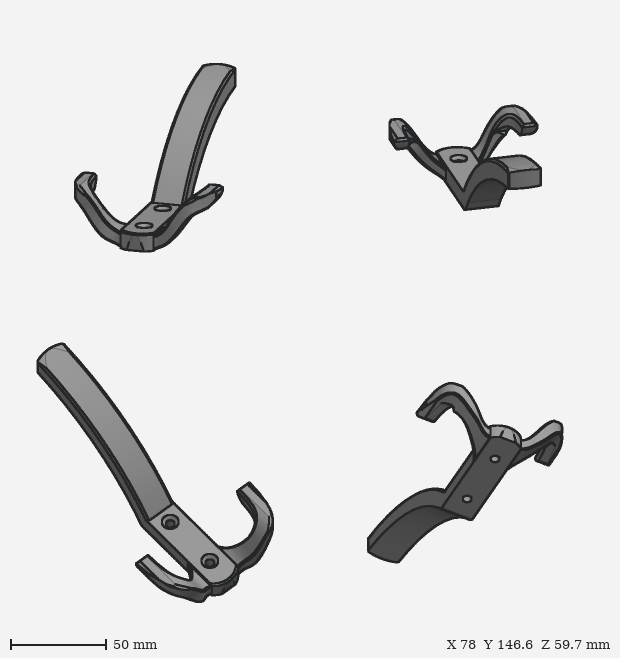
import cadquery as cq

length = 146.6
height = 59.7
span = 78.0

bar_width = 18.0
plate_thickness = 9.5
bend_y = 55.7
heel_y = 59.4
arm_tip_thickness = 10.3
arm_edge_chamfer = 1.2
arm_crown_radius = 35.2
arm_end_radius = 26.4
arm_corner_chamfer = 0.7
nose_radius = 13.0
nose_chamfer_setback = 0.6
nose_chamfer_drop = 1.3
nose_facet_height = 8.8
nose_facet_setback = 0.9

hole_diameter = 4.7
countersink_diameter = 8.8
first_hole_y = 16.0
hole_pitch = 32.0

hook_tip_y = 29.9
hook_root_y = 23.3
hook_height = 31.2
hook_root_front_y = 3.8
hook_root_bottom = 0.5
hook_root_top = 8.0
hook_tip_inner_x = 30.6
hook_flat_start_x = 32.2
hook_flat_end_x = 37.0
prong_underside = 23.5
prong_tip_edge_z = 29.6
prong_tip_bevel = 0.7
hook_bend_x = 26.4
hook_inner_chamfer = 1.2
hook_front_chamfer = 0.66

half_width = bar_width / 2
half_span = span / 2


def make_bar():
    """Bent bar: side profile trimmed by the bowed plan and by the crown."""
    profile = (
        cq.Workplane("YZ")
        .moveTo(0, 0)
        .lineTo(heel_y, 0)
        .threePointArc((60.5, 0.5), (62.0, 1.8))
        .lineTo(66.0, 6.9)
        .threePointArc((97.9, 33.5), (length, height - arm_tip_thickness))
        .lineTo(length, height)
        .threePointArc((95.0, 44.1), (bend_y, plate_thickness))
        .lineTo(0, plate_thickness)
        .close()
        .extrude(half_width, both=True)
    )
    arm_top_edges = profile.faces(">X or <X").edges("%CIRCLE").edges(">Z")
    bar = arm_top_edges.chamfer(arm_edge_chamfer)

    nose_sag = nose_radius - (nose_radius**2 - half_width**2) ** 0.5
    end_sag = arm_end_radius - (arm_end_radius**2 - half_width**2) ** 0.5
    plan = (
        cq.Workplane("XY")
        .moveTo(-half_width, nose_sag)
        .threePointArc((0, 0), (half_width, nose_sag))
        .lineTo(half_width, length - end_sag)
        .threePointArc((0, length), (-half_width, length - end_sag))
        .close()
        .extrude(height)
        .edges("|Z")
        .edges(">Y")
        .chamfer(arm_corner_chamfer)
    )
    crown = (
        cq.Workplane("XZ", origin=(0, 0, height - arm_crown_radius))
        .circle(arm_crown_radius)
        .extrude(-length)
    )
    bar = bar.intersect(plan).intersect(crown)
    nose_top_edge = bar.faces("<Y").edges(">Z")
    return nose_top_edge.chamfer(nose_chamfer_drop, nose_chamfer_setback)


def make_nose_cutter():
    """Wedge that leaves a sloping triangular facet on the bowed nose."""
    return (
        cq.Workplane("YZ")
        .polyline([(0, 0), (nose_facet_setback, 0), (0, nose_facet_height)])
        .close()
        .extrude(half_width, both=True)
    )


def make_hook_plan():
    """Hook outline in the XY plane, extruded along Z."""
    outer_side = [
        (13.0, 3.4),
        (17.3, 1.0),
        (22.9, 0.07),
        (29.5, 1.2),
        (35.5, 8.2),
        (38.3, 20.7),
        (half_span, hook_tip_y),
    ]
    inner_side = [
        (29.9, 18.9),
        (27.0, 11.1),
        (22.7, 9.1),
        (15.5, 13.5),
        (half_width, hook_root_y),
    ]
    return (
        cq.Workplane("XY")
        .moveTo(0, hook_root_front_y)
        .lineTo(half_width, hook_root_front_y)
        .spline(outer_side, tangents=[(1, 0.3), (0.07, 1)], includeCurrent=True)
        .lineTo(hook_tip_inner_x, hook_tip_y)
        .spline(inner_side, tangents=[(0, -1), (-1, 2.2)], includeCurrent=True)
        .lineTo(0, hook_root_y)
        .close()
        .extrude(hook_height)
    )


def make_hook_front():
    """Rising S-shaped band in the XZ plane, extruded along Y."""
    underside = [(15.1, 3.5), (23.3, 11.9), (29.9, 20.7), (36.0, prong_underside)]
    top_side = [(26.1, 27.7), (19.6, 19.3), (13.2, 10.5), (half_width, hook_root_top)]
    return (
        cq.Workplane("XZ")
        .moveTo(0, 0)
        .lineTo(half_width, hook_root_bottom)
        .spline(underside, tangents=[(1, 0.4), (1, 0.15)], includeCurrent=True)
        .threePointArc((38.0, 25.8), (half_span, 29.9))
        .lineTo(hook_flat_end_x, hook_height)
        .lineTo(hook_flat_start_x, hook_height)
        .spline(top_side, tangents=[(-1, -0.2), (-1, -0.4)], includeCurrent=True)
        .lineTo(0, hook_root_top)
        .close()
        .extrude(-hook_tip_y)
    )


def make_hook_side():
    """C-shaped outline in the YZ plane that rounds the prong and its tip."""
    return (
        cq.Workplane("YZ")
        .lineTo(0, 26.7)
        .threePointArc((2.5, 29.9), (6.7, hook_height))
        .lineTo(hook_tip_y - prong_tip_bevel, hook_height)
        .lineTo(hook_tip_y, prong_tip_edge_z)
        .threePointArc((28.5, 25.8), (26.0, prong_underside))
        .lineTo(12.3, 22.9)
        .threePointArc((10.0, 21.7), (8.8, 19.0))
        .lineTo(16.9, plate_thickness)
        .lineTo(hook_root_y, plate_thickness)
        .lineTo(hook_root_y, 0)
        .close()
        .extrude(half_span)
    )


def make_hook():
    """Hook on the +X side: the common volume of its three outlines."""
    hook = make_hook_plan().intersect(make_hook_front())

    wall_split_y = hook_root_y / 4
    inner_box = cq.selectors.BoxSelector(
        (half_width, wall_split_y, 0), (hook_bend_x, hook_root_y, hook_height)
    )
    front_box = cq.selectors.BoxSelector((half_width, 0, 0), (hook_bend_x, wall_split_y, hook_height))
    hook = hook.edges("%BSPLINE").edges(inner_box).chamfer(hook_inner_chamfer)
    hook = hook.edges("%BSPLINE").edges(front_box).chamfer(hook_front_chamfer)
    return hook.intersect(make_hook_side())


def make_screw_holes():
    """Countersunk through holes along the plate's centre line."""
    places = [(0, first_hole_y), (0, first_hole_y + hole_pitch)]
    countersink_depth = (countersink_diameter - hole_diameter) / 2
    holes = cq.Workplane("XY").pushPoints(places).circle(hole_diameter / 2).extrude(plate_thickness)
    for x, y in places:
        cone = cq.Solid.makeCone(
            hole_diameter / 2,
            countersink_diameter / 2,
            countersink_depth,
            cq.Vector(x, y, plate_thickness - countersink_depth),
        )
        holes = holes.union(cq.Workplane(cone))
    return holes


hook = make_hook()
result = (
    make_bar()
    .cut(make_nose_cutter())
    .union(hook)
    .union(hook.mirror("YZ"))
    .cut(make_screw_holes())
)